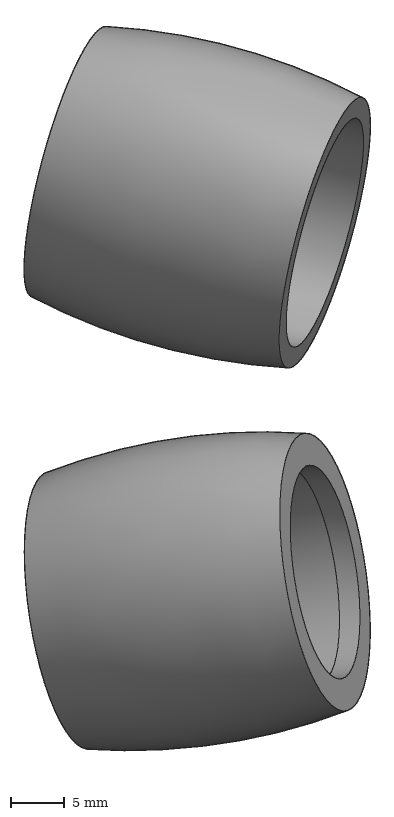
import cadquery as cq

length = 25.0
middle_diameter = 28.63
end_diameter = 26.0

bore_diameter = 22.0
lip_diameter = 20.0
lip_length = 2.0

half_length = length / 2
end_radius = end_diameter / 2


def make_barrel():
    """Solid of revolution about X with an arched outer profile."""
    profile = (
        cq.Workplane("XY")
        .moveTo(-half_length, 0)
        .lineTo(-half_length, end_radius)
        .threePointArc((0, middle_diameter / 2), (half_length, end_radius))
        .lineTo(half_length, 0)
        .close()
    )
    return profile.revolve(360, (0, 0, 0), (1, 0, 0))


def make_bore_section(diameter, start_x):
    """Cylinder along X from start_x to the +X end."""
    section_plane = cq.Workplane("YZ", origin=(start_x, 0, 0))
    return section_plane.circle(diameter / 2).extrude(half_length - start_x)


lip_hole = make_bore_section(lip_diameter, -half_length)
main_bore = make_bore_section(bore_diameter, -half_length + lip_length)

result = make_barrel().cut(lip_hole).cut(main_bore)